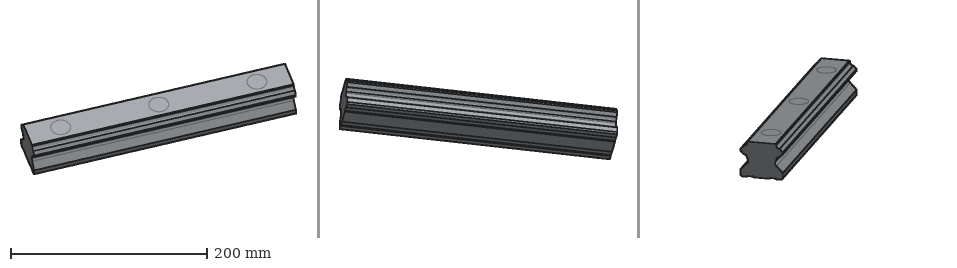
import cadquery as cq
import math

LENGTH = 280.0
WIDTH = 45.0
HEIGHT = 38.0

HEAD_HALF_WIDTH = 15.7
HEAD_CHAMFER = 0.8

NOSE_HALF_WIDTH = 22.5
NOSE_CENTRE_HEIGHT = 28.5
NOSE_FLAT = 2.2
LIP_HALF_WIDTH = 19.0

NECK_HALF_WIDTH = 14.8
NECK_TOP = 19.3
NECK_RADIUS = 4.0

FOOT_SIDE_TOP = 7.5
FOOT_CHAMFER = 1.7

RELIEF_DEPTH = 0.8
RELIEF_INNER = 8.5
RELIEF_OUTER = 15.5

PLUG_DIAMETER = 20.2
PLUG_DEPTH = 2.8
PLUG_PITCH = 105.0
PLUG_COUNT = 3

HALF_WIDTH = WIDTH / 2

RACEWAY_RADIUS = LIP_HALF_WIDTH - HEAD_HALF_WIDTH
NOSE_TOP = NOSE_CENTRE_HEIGHT + NOSE_FLAT / 2
NOSE_BOTTOM = NOSE_CENTRE_HEIGHT - NOSE_FLAT / 2
UPPER_LIP = NOSE_TOP + NOSE_HALF_WIDTH - LIP_HALF_WIDTH
LOWER_LIP = NOSE_BOTTOM - NOSE_HALF_WIDTH + LIP_HALF_WIDTH

DIAGONAL = math.sqrt(0.5)
SHOULDER_SUM = HALF_WIDTH + FOOT_SIDE_TOP
NECK_GAP = (NECK_HALF_WIDTH + NECK_TOP - SHOULDER_SUM) * DIAGONAL
NECK_RUN = math.sqrt(NECK_RADIUS**2 - (NECK_RADIUS - NECK_GAP) ** 2)
NECK_DROP = (NECK_RUN + NECK_GAP) * DIAGONAL
NECK_SHIFT = (NECK_RUN - NECK_GAP) * DIAGONAL
NECK_END = (NECK_HALF_WIDTH + NECK_SHIFT, NECK_TOP - NECK_DROP)


def half_profile():
    """Right half of the rail section in XZ, closed along the centre plane."""
    return (
        cq.Workplane("XZ")
        .moveTo(0, HEIGHT)
        .lineTo(HEAD_HALF_WIDTH - HEAD_CHAMFER, HEIGHT)
        .lineTo(HEAD_HALF_WIDTH, HEIGHT - HEAD_CHAMFER)
        .lineTo(HEAD_HALF_WIDTH, UPPER_LIP + RACEWAY_RADIUS)
        .radiusArc((LIP_HALF_WIDTH, UPPER_LIP), -RACEWAY_RADIUS)
        .lineTo(NOSE_HALF_WIDTH, NOSE_TOP)
        .lineTo(NOSE_HALF_WIDTH, NOSE_BOTTOM)
        .lineTo(LIP_HALF_WIDTH, LOWER_LIP)
        .radiusArc((HEAD_HALF_WIDTH, LOWER_LIP - RACEWAY_RADIUS), -RACEWAY_RADIUS)
        .lineTo(NECK_HALF_WIDTH, NECK_TOP)
        .radiusArc(NECK_END, -NECK_RADIUS)
        .lineTo(HALF_WIDTH, FOOT_SIDE_TOP)
        .lineTo(HALF_WIDTH, FOOT_CHAMFER)
        .lineTo(HALF_WIDTH - FOOT_CHAMFER, 0)
        .lineTo(RELIEF_OUTER, 0)
        .lineTo(RELIEF_OUTER - RELIEF_DEPTH, RELIEF_DEPTH)
        .lineTo(RELIEF_INNER + RELIEF_DEPTH, RELIEF_DEPTH)
        .lineTo(RELIEF_INNER, 0)
        .lineTo(0, 0)
        .close()
    )


def rail_body():
    half = half_profile().extrude(LENGTH / 2, both=True)
    return half.union(half.mirror("YZ")).clean()


def plugs():
    """Plug discs whose upper faces lie flush with the top of the rail."""
    return (
        cq.Workplane("XY", origin=(0, 0, HEIGHT))
        .rarray(2.8, PLUG_PITCH, 1, PLUG_COUNT)
        .circle(PLUG_DIAMETER / 2)
        .extrude(-PLUG_DEPTH)
    )


result = rail_body().union(plugs(), clean=False)